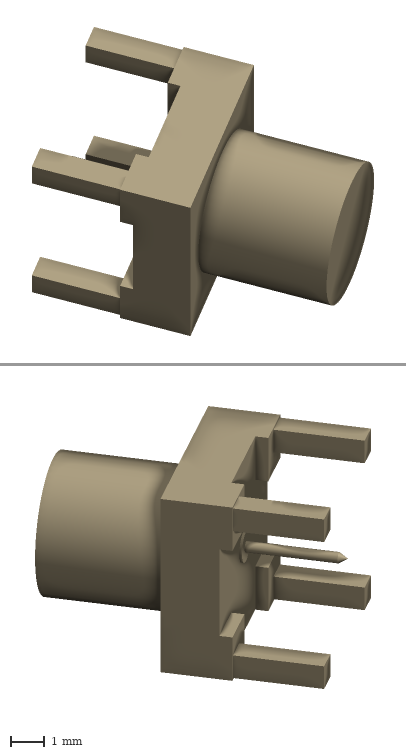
import cadquery as cq

total_length = 9.21
body_width = 6.0
body_depth = 2.25
barrel_length = 4.1
barrel_diameter = 4.5
standoff_size = 1.5
standoff_height = 0.405
leg_size = 0.78
leg_length = 2.85
leg_edge_gap = 0.06
collar_diameter = 1.0
collar_height = 0.08
pin_diameter = 0.35
tip_length = 0.29

barrel_end = body_depth + barrel_length
pin_end = barrel_end - total_length
leg_pitch = body_width - 2 * leg_edge_gap - leg_size
standoff_pitch = body_width - standoff_size


def face_at(x):
    """Sketch plane square to the connector axis, facing +X."""
    return cq.Workplane("YZ").workplane(offset=x)


def corner_blocks(start, length, size, pitch):
    """Four square blocks, one at each corner of the body."""
    return face_at(start).rect(pitch, pitch, forConstruction=True).vertices().rect(size, size).extrude(length)


def make_body():
    plate = face_at(standoff_height).rect(body_width, body_width).extrude(body_depth - standoff_height)
    standoffs = corner_blocks(0, standoff_height, standoff_size, standoff_pitch)
    barrel = face_at(body_depth).circle(barrel_diameter / 2).extrude(barrel_length)
    return plate.union(standoffs).union(barrel)


def make_legs():
    return corner_blocks(-leg_length, leg_length, leg_size, leg_pitch)


def make_contact():
    """Revolved centre pin with a pointed tip and a low collar at its root."""
    pin_radius = pin_diameter / 2
    collar_radius = collar_diameter / 2
    collar_face = standoff_height - collar_height
    profile = (
        cq.Workplane("XY")
        .moveTo(pin_end, 0)
        .lineTo(pin_end + tip_length, pin_radius)
        .lineTo(collar_face, pin_radius)
        .lineTo(collar_face, collar_radius)
        .lineTo(standoff_height, collar_radius)
        .lineTo(standoff_height, 0)
        .close()
    )
    return profile.revolve(360, (0, 0, 0), (1, 0, 0))


result = make_body().union(make_legs()).union(make_contact())